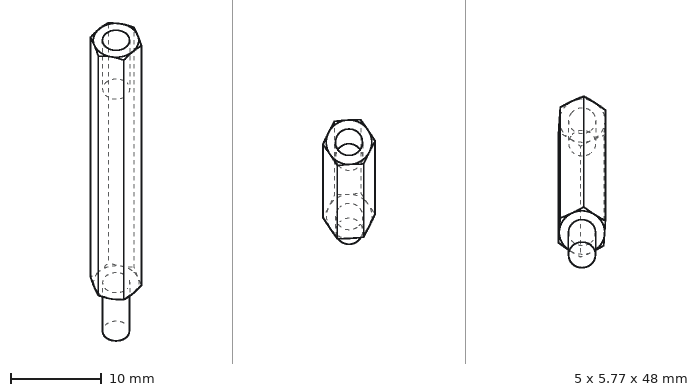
import cadquery as cq
import math

TOTAL_LENGTH = 48.0
STUD_LENGTH = 8.0
ACROSS_FLATS = 5.0
THREAD_DIAMETER = 3.0
CHAMFER_ANGLE = 30.0

HEX_SIDES = 6
SLEEVE_LENGTH = TOTAL_LENGTH - STUD_LENGTH
HOLE_DEPTH = STUD_LENGTH
ACROSS_CORNERS = ACROSS_FLATS / math.cos(math.pi / HEX_SIDES)
CORNER_OVERHANG = (ACROSS_CORNERS - ACROSS_FLATS) / 2
CHAMFER_HEIGHT = CORNER_OVERHANG * math.tan(math.radians(CHAMFER_ANGLE))


def make_chamfer_envelope():
    """Cylinder through the hexagon corners, coned at both ends."""
    return (
        cq.Workplane("XY")
        .workplane(offset=STUD_LENGTH)
        .circle(ACROSS_CORNERS / 2)
        .extrude(SLEEVE_LENGTH)
        .faces("<Z or >Z")
        .chamfer(CHAMFER_HEIGHT, CORNER_OVERHANG)
    )


def make_sleeve():
    """Hexagonal sleeve with corners on the Y axis and a blind hole in its top."""
    hexagon = (
        cq.Workplane("XY")
        .workplane(offset=STUD_LENGTH)
        .transformed(rotate=(0, 0, 90))
        .polygon(HEX_SIDES, ACROSS_CORNERS)
        .extrude(SLEEVE_LENGTH)
    )
    top_hole = (
        cq.Workplane("XY")
        .workplane(offset=TOTAL_LENGTH - HOLE_DEPTH)
        .circle(THREAD_DIAMETER / 2)
        .extrude(HOLE_DEPTH)
    )
    return hexagon.intersect(make_chamfer_envelope()).cut(top_hole)


def make_stud():
    """Plain round stud standing on Z = 0 and meeting the underside of the sleeve."""
    return cq.Workplane("XY").circle(THREAD_DIAMETER / 2).extrude(STUD_LENGTH)


sleeve = make_sleeve()
stud = make_stud()
result = cq.Compound.makeCompound([sleeve.val(), stud.val()])